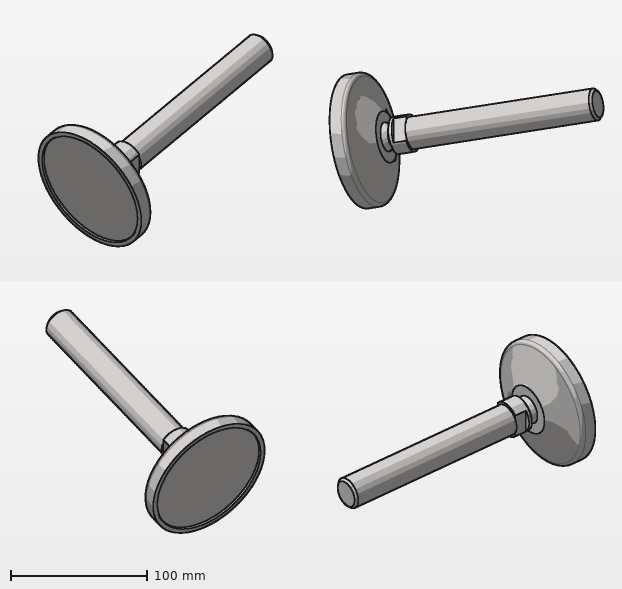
import cadquery as cq
import math

total_length = 194.0

pad_radius = 100.0 / 2
recess_radius = 92.5 / 2
recess_depth = 2.1
rim_straight_height = 9.3
rim_fillet = 3.0
pad_height = 23.5
pad_top_radius = 19.2
concave_mid_radius = 29.1
concave_mid_height = 17.8

ball_radius = 11.3
ball_center_height = 20.8
neck_radius = 17.0 / 2
collar_radius = 28.0 / 2
collar_start = 31.0
stem_start = 43.8
stem_radius = 24.0 / 2
stem_chamfer = 2.0

flats_start = 33.8
across_flats = 20.5


def disc(radius, start, end):
    """Cylinder on the Y axis between two heights above the pad face."""
    return cq.Workplane("XZ", origin=(0, start, 0)).circle(radius).extrude(start - end)


def make_pad():
    rim_top = rim_straight_height + rim_fillet
    rim_inner = pad_radius - rim_fillet
    fillet_mid = rim_fillet * math.sqrt(0.5)
    profile = (
        cq.Workplane("XY")
        .lineTo(pad_radius, 0)
        .lineTo(pad_radius, rim_straight_height)
        .threePointArc(
            (rim_inner + fillet_mid, rim_straight_height + fillet_mid),
            (rim_inner, rim_top),
        )
        .threePointArc(
            (concave_mid_radius, concave_mid_height),
            (pad_top_radius, pad_height),
        )
        .lineTo(0, pad_height)
        .close()
    )
    pad = profile.revolve(360, (0, 0, 0), (0, 1, 0))
    return pad.cut(disc(recess_radius, 0, recess_depth))


def make_collar():
    collar = disc(collar_radius, collar_start, stem_start)
    flats_length = stem_start - flats_start
    cut_width = collar_radius
    for side in (-1, 1):
        cutter = cq.Workplane("XY").box(cut_width, flats_length, 2 * collar_radius)
        cut_center = side * (across_flats + cut_width) / 2
        collar = collar.cut(cutter.translate((cut_center, flats_start + flats_length / 2, 0)))
    return collar


def make_stem():
    return disc(stem_radius, stem_start, total_length).faces(">Y").chamfer(stem_chamfer)


ball = cq.Workplane("XY").sphere(ball_radius).translate((0, ball_center_height, 0))
neck = disc(neck_radius, ball_center_height, collar_start)

result = make_pad().union(ball).union(neck).union(make_collar()).union(make_stem())